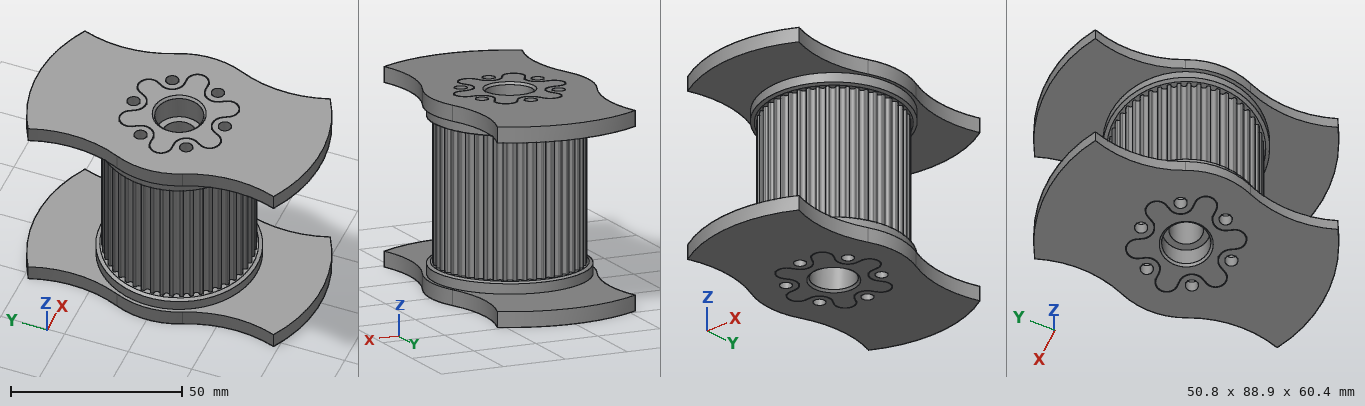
import cadquery as cq
import math

total_height = 60.4
plate_thickness = 4.8
drum_height = total_height - 2 * plate_thickness

end_radius = 44.45
bulge_radius = 25.4
waist_radius = 38.1
corner_angle = 60.0

collar_diameter = 48.6
collar_height = 3.6
collar_chamfer_height = 0.45
collar_chamfer_width = 1.2
tooth_count = 48
tooth_diameter = 45.2
groove_depth = 1.2
groove_radius = 0.9
groove_lip_radius = 0.3
groove_phase = 4.9

arm_count = 6
hub_reach = 17.5
arm_half_width = 3.2
hub_clearance = 0.22

bolt_diameter = 3.8
bolt_circle_radius = 14.3
bore_diameter = 10.1
counterbore_diameter = 14.3
counterbore_depth = 8.0
counterbore_chamfer = 0.7

arm_pitch = 360.0 / arm_count


def polar(radius, angle):
    """Point at a radius and an angle in degrees."""
    return (radius * math.cos(math.radians(angle)), radius * math.sin(math.radians(angle)))


def mirrored(shape):
    """The shape together with its copy reflected through the mid-height plane."""
    return shape.union(shape.mirror("XY"))


def bolt_holes():
    """Cutters for the ring of bolt holes, one between each two hub arms."""
    return (
        cq.Workplane("XY")
        .polarArray(bolt_circle_radius, arm_pitch / 2, 360, arm_count)
        .circle(bolt_diameter / 2)
        .extrude(total_height / 2, both=True)
    )


def hub_prism(margin, bottom):
    """Star prism of round-ended arms and valleys around the bolt holes, grown by a margin all round."""
    half_width = arm_half_width + margin
    tip_center = hub_reach - arm_half_width
    valley_x = bolt_circle_radius * math.cos(math.radians(arm_pitch / 2))
    valley_radius = bolt_circle_radius * math.sin(math.radians(arm_pitch / 2)) - half_width
    core = (
        cq.Workplane("XY", origin=(0, 0, bottom))
        .polygon(arm_count, 2 * bolt_circle_radius)
        .extrude(plate_thickness)
        .rotate((0, 0, 0), (0, 0, 1), arm_pitch / 2)
    )
    valleys = (
        cq.Workplane("XY", origin=(0, 0, bottom))
        .polarArray(bolt_circle_radius, arm_pitch / 2, 360, arm_count)
        .circle(valley_radius)
        .extrude(plate_thickness)
    )
    star = core.cut(valleys)
    arm = (
        cq.Workplane("XY", origin=(0, 0, bottom))
        .moveTo(valley_x, -half_width)
        .lineTo(tip_center, -half_width)
        .threePointArc((tip_center + half_width, 0), (tip_center, half_width))
        .lineTo(valley_x, half_width)
        .close()
        .extrude(plate_thickness)
    )
    for index in range(arm_count):
        star = star.union(arm.rotate((0, 0, 0), (0, 0, 1), index * arm_pitch))
    return star


def make_toothed_core():
    """Cylinder with round-bottomed, round-lipped belt grooves along its whole height."""
    core = cq.Workplane("XY").circle(tooth_diameter / 2).extrude(drum_height / 2, both=True)
    groove_center = tooth_diameter / 2 - groove_depth + groove_radius
    grooves = (
        cq.Workplane("XY")
        .polarArray(groove_center, groove_phase, 360, tooth_count)
        .circle(groove_radius)
        .extrude(drum_height / 2, both=True)
    )
    return core.cut(grooves).edges("|Z").fillet(groove_lip_radius)


def make_collar():
    """Upper collar, chamfered on the edge that faces the teeth."""
    return (
        cq.Workplane("XY", origin=(0, 0, drum_height / 2 - collar_height))
        .circle(collar_diameter / 2)
        .extrude(collar_height)
        .faces("<Z")
        .chamfer(collar_chamfer_height, collar_chamfer_width)
    )


def make_bearing_seat():
    """Cutter for the upper counterbore with its chamfered mouth."""
    top = total_height / 2
    radius = counterbore_diameter / 2
    seat = (
        cq.Workplane("XY", origin=(0, 0, top - counterbore_depth))
        .circle(radius)
        .extrude(counterbore_depth)
    )
    mouth = cq.Workplane("XY").add(
        cq.Solid.makeCone(
            radius,
            radius + counterbore_chamfer,
            counterbore_chamfer,
            pnt=cq.Vector(0, 0, top - counterbore_chamfer),
        )
    )
    return seat.union(mouth)


def make_drum():
    """Toothed drum with a collar and a hub at each end, bored through."""
    drum = make_toothed_core()
    drum = drum.union(mirrored(make_collar()))
    drum = drum.union(mirrored(hub_prism(0, drum_height / 2)))
    bore = cq.Workplane("XY").circle(bore_diameter / 2).extrude(total_height / 2, both=True)
    return drum.cut(bore).cut(mirrored(make_bearing_seat())).cut(bolt_holes())


def plate_outline(bottom):
    """Closed outline of a side plate."""
    corner = polar(end_radius, corner_angle)
    waist_distance = bulge_radius + waist_radius
    waist_angle = corner_angle - math.degrees(
        math.acos(
            (end_radius**2 + waist_distance**2 - waist_radius**2) / (2 * end_radius * waist_distance)
        )
    )
    joint = polar(bulge_radius, waist_angle)
    waist_center = polar(waist_distance, waist_angle)
    waist_middle = (waist_center[0] - waist_radius, waist_center[1])
    return (
        cq.Workplane("XY", origin=(0, 0, bottom))
        .moveTo(joint[0], -joint[1])
        .threePointArc((bulge_radius, 0), joint)
        .threePointArc(waist_middle, corner)
        .threePointArc((0, end_radius), (-corner[0], corner[1]))
        .threePointArc((-waist_middle[0], waist_middle[1]), (-joint[0], joint[1]))
        .threePointArc((-bulge_radius, 0), (-joint[0], -joint[1]))
        .threePointArc((-waist_middle[0], -waist_middle[1]), (-corner[0], -corner[1]))
        .threePointArc((0, -end_radius), (corner[0], -corner[1]))
        .threePointArc((waist_middle[0], -waist_middle[1]), (joint[0], -joint[1]))
        .close()
    )


def make_plate(bottom):
    """Side plate with a star opening for the hub and the bolt holes."""
    plate = plate_outline(bottom).extrude(plate_thickness)
    opening = hub_prism(hub_clearance, bottom)
    return plate.cut(opening).cut(bolt_holes())


drum = make_drum()
plates = [make_plate(bottom) for bottom in (-total_height / 2, drum_height / 2)]

result = cq.Compound.makeCompound([drum.val(), *[plate.val() for plate in plates]])